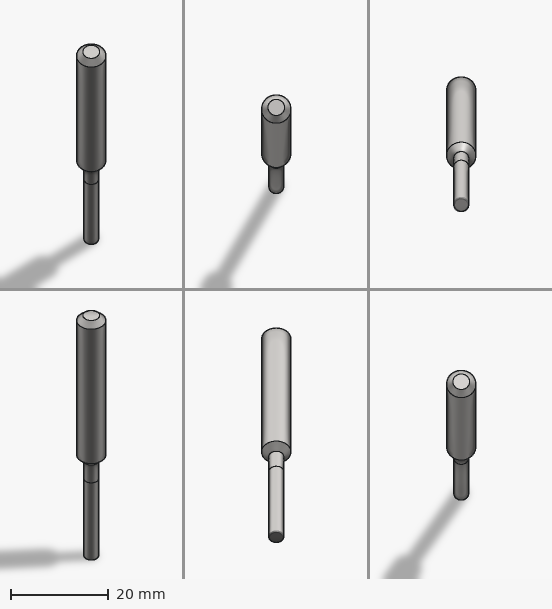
import cadquery as cq

total_length = 62.0
shank_diameter = 6.0
neck_diameter = 3.1
cutter_length = 20.0
cone_start = 24.6
shank_start = 26.1
top_chamfer_width = 1.3
top_chamfer_height = 1.25
tip_fillet = 0.2

shank_radius = shank_diameter / 2
neck_radius = neck_diameter / 2


def make_shank():
    """Chamfered shank with a cone and a short neck down to the joint."""
    return (
        cq.Workplane("XZ")
        .moveTo(0, cutter_length)
        .lineTo(neck_radius, cutter_length)
        .lineTo(neck_radius, cone_start)
        .lineTo(shank_radius, shank_start)
        .lineTo(shank_radius, total_length - top_chamfer_height)
        .lineTo(shank_radius - top_chamfer_width, total_length)
        .lineTo(0, total_length)
        .close()
        .revolve(360, (0, 0, 0), (0, 1, 0))
    )


def make_cutter():
    """Plain cylinder with a rounded tip edge, butted against the neck."""
    return (
        cq.Workplane("XY")
        .circle(neck_radius)
        .extrude(cutter_length)
        .faces("<Z")
        .fillet(tip_fillet)
    )


shank = make_shank()
cutter = make_cutter()
result = cq.Compound.makeCompound([shank.val(), cutter.val()])